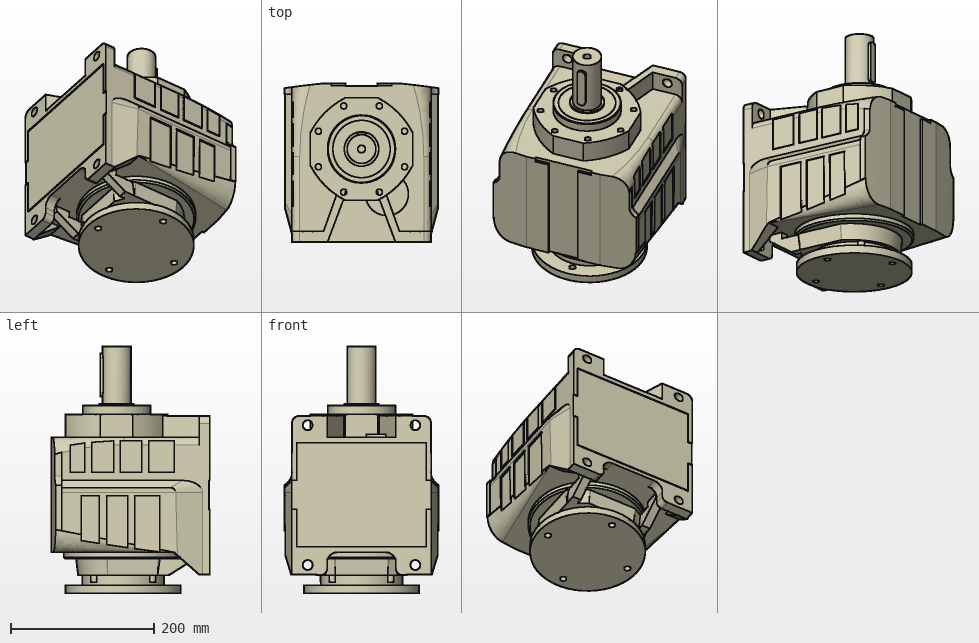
import cadquery as cq
import math


total_height = 344.5
shaft_d = 40.0
shaft_length = 80.0
shaft_base_z = total_height - shaft_length
centre_hole_d = 10.5
centre_hole_depth = 30.0
collar_d = 48.0
collar_height = 2.0
key_width = 12.0
key_length = 60.0
key_projection = 3.0

boss_d = 95.0
boss_top_z = shaft_base_z - collar_height
boss_chamfer = 1.0
seal_d = 80.0
seal_recess = 0.3
face_across_flats = 143.0
face_flat_half_length = 22.6
face_diagonal_radius = 72.0
face_top_z = 249.5
face_bolt_circle_d = 130.0
face_bolt_d = 8.5
face_bolt_depth = 20.0
face_bolt_count = 8

housing_top_z = 218.0
housing_bottom_z = 57.0
housing_half_width = 97.0
back_y = 91.5
front_y = -130.0
foot_thickness = 15.0
foot_back_y = front_y + foot_thickness

bulge_half_width = 107.0
parting_z = 141.0
draft_at_bottom = 0.8
bulge_inner_top_z = 157.5
bulge_outer_top_z = 147.5
bulge_inner_front_y = -119.5
bulge_outer_front_y = -82.0
bulge_inner_corner_length = 28.5
bulge_outer_corner_length = 7.5

rim_front_y = 76.5
rim_proud = 0.5
rim_ledge_top_z = 164.0
rim_ledge_mid = (100.5, 157.5)
rim_ledge_bottom_z = 151.0
rim_side_y = 85.0
rim_flat_half_width = 55.0
rim_arc_mid = (80.0, 88.7)
rear_recess_depth = 3.5
rear_recess_half_width = 22.0
rear_tab_half_width = 42.0
rear_tab_drop = 5.0

top_edge_radius = 10.5
top_edge_growth = 15.0
top_growth_start_y = -10.0
bottom_edge_end_y = -80.0
bottom_edge_start_height = 0.3
bottom_edge_height = 33.5
bottom_edge_aspect = 0.8
cut_margin = 2.0

foot_top_z = 247.5
foot_bottom_z = 26.0
foot_corner_radius = 10.0
foot_hole_d = 13.5
foot_hole_x = 75.0
foot_hole_zs = (39.5, 234.5)
pad_depth = 1.0
pad_half_width = 90.5
pad_z = (65.0, 210.0)
pad_band_z = (117.0, 157.5)
arch_half_width = 48.0
arch_radius = 14.0
arch_flare_radius = 8.0
gusset_inner_x = 84.0

rib_inner_start = (25.0, -70.0)
rib_inner_end = (47.5, front_y)
rib_outer_start = (35.0, -64.5)
rib_outer_end = (53.0, foot_back_y)
rib_root = (20.0, -50.0)

cover_centre = (35.4, -62.8)
cover_d = 60.0
cover_height = 4.0

upper_pocket_depth = 1.5
lower_pocket_depth = 2.0
upper_pockets = ((44.5, 65.0), (4.0, 35.0), (-35.0, -5.0), (-80.0, -45.0))
upper_pocket_bottom_z = 168.7
lower_pockets = ((24.0, 49.5), (-15.5, 14.0), (-60.0, -25.0))
lower_pocket_top_z = 136.0

input_y = -9.0
input_flange_d = 161.0
input_flange_height = 11.5
input_hole_circle_d = 130.0
input_hole_d = 9.0
input_hole_count = 4
neck_d = 114.5
input_block_z = 25.0
screw_d = 10.0
screw_offset = 40.3
screw_bottom_z = 15.5
disc_d = 166.0
disc_bottom_z = 48.0
disc_chamfer = 2.5
block_half_width = 63.0
block_flat_y = (13.0, -57.0)
block_back_y = 54.0
block_front_y = -72.5
block_front_half_width = 36.5
block_taper = 7.0
web_inner_x = 50.0
web_front_y = -109.0
web_step_y = -88.0


def box(x0, x1, y0, y1, z0, z1):
    return cq.Workplane("XY").box(x1 - x0, y1 - y0, z1 - z0, centered=False).translate((x0, y0, z0))


def cylinder(diameter, z0, z1, x=0.0, y=0.0):
    return cq.Workplane("XY", origin=(x, y, z0)).circle(diameter / 2).extrude(z1 - z0)


def mirrored(body):
    """The body together with its mirror image across the YZ plane."""
    return body.union(body.mirror("YZ"))


def yz_prism(points, x0, x1):
    return cq.Workplane("YZ", origin=(x0, 0, 0)).polyline(points).close().extrude(x1 - x0)


def edge_waste(x, z, stations):
    """Waste outside rounded upper edges along Y at (+-x, z); stations are (y, width, height)."""
    waste = cq.Workplane("XZ")
    last_y = 0.0
    for y, width, height in stations:
        waste = (
            waste.workplane(offset=last_y - y)
            .moveTo(x, z - height)
            .ellipseArc(width, height, 0, 90, sense=1)
            .lineTo(x - width, z + cut_margin)
            .lineTo(x + cut_margin, z + cut_margin)
            .lineTo(x + cut_margin, z - height)
            .close()
        )
        last_y = y
    return mirrored(waste.loft(combine=True))


def top_radius(y):
    grown = (y - top_growth_start_y) / (back_y - top_growth_start_y)
    return top_edge_radius + top_edge_growth * grown**2


def side_bulges():
    """Both side bulges, each lofted from its wide base on the housing side to its smaller outer face."""

    def outline(plane, front, top, corner_length):
        return (
            plane.moveTo(rim_front_y, foot_bottom_z)
            .lineTo(rim_front_y, top)
            .lineTo(front + corner_length, top)
            .ellipseArc(corner_length, top - parting_z, 90, 180, sense=1)
            .lineTo(front, foot_bottom_z)
            .close()
        )

    base = cq.Workplane("YZ", origin=(housing_half_width, 0, 0))
    base = outline(base, bulge_inner_front_y, bulge_inner_top_z, bulge_inner_corner_length)
    tip = base.workplane(offset=bulge_half_width - housing_half_width)
    tip = outline(tip, bulge_outer_front_y, bulge_outer_top_z, bulge_outer_corner_length)
    body = tip.loft(ruled=True, combine=True)
    draft_waste = (
        cq.Workplane("XZ", origin=(0, back_y, 0))
        .moveTo(bulge_half_width, parting_z)
        .lineTo(bulge_half_width + cut_margin, foot_bottom_z)
        .lineTo(bulge_half_width - draft_at_bottom, foot_bottom_z)
        .close()
        .extrude(back_y - front_y)
    )
    wall = box(
        gusset_inner_x,
        housing_half_width,
        foot_back_y,
        bottom_edge_end_y,
        foot_bottom_z,
        housing_bottom_z,
    )
    underside = [
        (back_y, housing_bottom_z),
        (bottom_edge_end_y, housing_bottom_z),
        (foot_back_y, foot_bottom_z),
        (back_y, foot_bottom_z),
    ]
    underside_waste = yz_prism(underside, 0, bulge_half_width + cut_margin)
    return mirrored(body.cut(draft_waste).union(wall).cut(underside_waste))


def rear_rim():
    """Rim at the back: the housing silhouette, bowed in plan."""
    upper_x = housing_half_width + rim_proud
    lower_x = bulge_half_width + rim_proud
    silhouette = (
        cq.Workplane("XZ", origin=(0, back_y, 0))
        .moveTo(0, housing_bottom_z)
        .lineTo(lower_x, housing_bottom_z)
        .lineTo(lower_x, rim_ledge_bottom_z)
        .threePointArc(rim_ledge_mid, (upper_x, rim_ledge_top_z))
        .lineTo(upper_x, housing_top_z)
        .lineTo(0, housing_top_z)
        .close()
        .extrude(back_y - rim_front_y)
    )
    plan = (
        cq.Workplane("XY", origin=(0, 0, housing_bottom_z))
        .moveTo(0, rim_front_y)
        .lineTo(lower_x, rim_front_y)
        .lineTo(lower_x, rim_side_y)
        .threePointArc(rim_arc_mid, (rim_flat_half_width, back_y))
        .lineTo(0, back_y)
        .close()
        .extrude(housing_top_z - housing_bottom_z)
    )
    return mirrored(silhouette.intersect(plan))


def side_pockets():
    pockets = cq.Workplane("XY")
    inner_x = housing_half_width - upper_pocket_depth
    for y0, y1 in upper_pockets:
        pockets = pockets.union(
            box(inner_x, housing_half_width + cut_margin, y0, y1, upper_pocket_bottom_z, housing_top_z)
        )
    inner_x = bulge_half_width - lower_pocket_depth
    for y0, y1 in lower_pockets:
        pockets = pockets.union(
            box(inner_x, bulge_half_width + cut_margin, y0, y1, housing_bottom_z, lower_pocket_top_z)
        )
    return mirrored(pockets)


def rear_recess():
    floor_y = back_y - rear_recess_depth
    slot = box(
        -rear_recess_half_width, rear_recess_half_width, floor_y, back_y, housing_bottom_z, housing_top_z
    )
    tab_top_z = housing_top_z - rear_tab_drop
    step = box(-rear_tab_half_width, rear_tab_half_width, floor_y, back_y, tab_top_z, housing_top_z)
    return slot.union(step)


def housing():
    core = box(
        -housing_half_width, housing_half_width, foot_back_y, rim_front_y, housing_bottom_z, housing_top_z
    )
    body = core.union(side_bulges()).union(rear_rim())
    end_y = back_y + cut_margin
    growth_span = end_y - top_growth_start_y
    steps = 4
    growth = [top_growth_start_y + growth_span * i / steps for i in range(steps + 1)]
    straight = [(y, top_edge_radius, top_edge_radius) for y in (foot_back_y, top_growth_start_y)]
    growing = [(y, top_radius(y), top_radius(y)) for y in growth]
    body = body.cut(edge_waste(housing_half_width, housing_top_z, straight))
    body = body.cut(edge_waste(housing_half_width, housing_top_z, growing))
    tapering = [
        (y, height * bottom_edge_aspect, height)
        for y, height in ((bottom_edge_end_y, bottom_edge_start_height), (end_y, bottom_edge_height))
    ]
    lower_waste = edge_waste(bulge_half_width - draft_at_bottom, -housing_bottom_z, tapering).mirror("XY")
    body = body.cut(lower_waste)
    return body.cut(side_pockets()).cut(rear_recess())


def foot_plate():
    plate = box(
        -housing_half_width, housing_half_width, front_y, foot_back_y, foot_bottom_z, foot_top_z
    )
    plate = plate.edges("|Y and >Z").fillet(foot_corner_radius)
    arch = box(-arch_half_width, arch_half_width, front_y, foot_back_y, foot_bottom_z, housing_bottom_z)
    arch = arch.edges("|Y and >Z").fillet(arch_radius)
    plate = plate.cut(arch)
    flare_edges = cq.selectors.BoxSelector(
        (-arch_half_width - cut_margin, front_y - cut_margin, foot_bottom_z - cut_margin),
        (arch_half_width + cut_margin, foot_back_y + cut_margin, foot_bottom_z + cut_margin),
    )
    plate = plate.edges("|Y").edges(flare_edges).fillet(arch_flare_radius)
    pad = box(-pad_half_width, pad_half_width, front_y, front_y + pad_depth, *pad_z)
    band = box(-housing_half_width, housing_half_width, front_y, front_y + pad_depth, *pad_band_z)
    return plate.cut(pad).cut(band)


def rib_window():
    """Open space above the housing between the two ribs."""
    (x0, y0), (x1, y1) = rib_inner_start, rib_inner_end
    return (
        cq.Workplane("XY", origin=(0, 0, housing_top_z))
        .polyline([(-x0, y0), (x0, y0), (x1, y1), (-x1, y1)])
        .close()
        .extrude(foot_top_z - housing_top_z)
    )


def ribs():
    rib = (
        cq.Workplane("XY", origin=(0, 0, housing_top_z))
        .polyline([rib_root, rib_inner_start, rib_inner_end, rib_outer_end, rib_outer_start])
        .close()
        .extrude(foot_top_z - housing_top_z)
    )
    return mirrored(rib)


def foot_holes():
    points = [(x, z) for x in (-foot_hole_x, foot_hole_x) for z in foot_hole_zs]
    return (
        cq.Workplane("XZ", origin=(0, foot_back_y, 0))
        .pushPoints(points)
        .circle(foot_hole_d / 2)
        .extrude(foot_thickness)
    )


def output_face():
    half = face_across_flats / 2
    flat = face_flat_half_length
    mid = face_diagonal_radius * math.sqrt(0.5)
    face = (
        cq.Workplane("XY", origin=(0, 0, housing_top_z))
        .moveTo(half, -flat)
        .lineTo(half, flat)
        .threePointArc((mid, mid), (flat, half))
        .lineTo(-flat, half)
        .threePointArc((-mid, mid), (-half, flat))
        .lineTo(-half, -flat)
        .threePointArc((-mid, -mid), (-flat, -half))
        .lineTo(flat, -half)
        .threePointArc((mid, -mid), (half, -flat))
        .close()
        .extrude(face_top_z - housing_top_z)
    )
    holes = (
        cq.Workplane("XY", origin=(0, 0, face_top_z - face_bolt_depth))
        .polarArray(face_bolt_circle_d / 2, 180 / face_bolt_count, 360, face_bolt_count)
        .circle(face_bolt_d / 2)
        .extrude(face_bolt_depth)
    )
    boss = cylinder(boss_d, face_top_z, boss_top_z).faces(">Z").edges().chamfer(boss_chamfer)
    seal = cylinder(seal_d, boss_top_z - seal_recess, boss_top_z)
    return face.cut(holes).union(boss.cut(seal))


def output_shaft():
    shaft = cylinder(collar_d, boss_top_z - seal_recess, shaft_base_z)
    shaft = shaft.union(cylinder(shaft_d, shaft_base_z, total_height))
    key = (
        cq.Workplane("XZ", origin=(0, shaft_d / 2 + key_projection, shaft_base_z + shaft_length / 2))
        .slot2D(key_length, key_width, 90)
        .extrude(shaft_d / 2)
    )
    centre_hole = cylinder(centre_hole_d, total_height - centre_hole_depth, total_height)
    return shaft.union(key).cut(centre_hole)


def input_block():
    """Drafted block under the housing, with two webs sloping up towards the foot plate."""
    flat_back, flat_front = block_flat_y
    block = (
        cq.Workplane("XY", origin=(0, 0, input_block_z))
        .moveTo(-block_half_width, flat_back)
        .threePointArc((0, block_back_y), (block_half_width, flat_back))
        .lineTo(block_half_width, flat_front)
        .lineTo(block_front_half_width, block_front_y)
        .lineTo(-block_front_half_width, block_front_y)
        .lineTo(-block_half_width, flat_front)
        .close()
        .extrude(disc_bottom_z - input_block_z, taper=-block_taper)
    )
    web_outline = [
        (flat_front, input_block_z),
        (block_front_y, input_block_z),
        (web_front_y, disc_bottom_z),
        (web_front_y, housing_bottom_z),
        (web_step_y, housing_bottom_z),
        (web_step_y, disc_bottom_z),
        (flat_front, disc_bottom_z),
    ]
    return block.union(mirrored(yz_prism(web_outline, web_inner_x, block_half_width)))


def input_side():
    disc = cylinder(disc_d, disc_bottom_z, housing_bottom_z, y=input_y)
    disc = disc.faces("<Z").edges().chamfer(disc_chamfer)
    flange = cylinder(input_flange_d, 0, input_flange_height, y=input_y)
    flange_holes = (
        cq.Workplane("XY", origin=(0, input_y, 0))
        .polarArray(input_hole_circle_d / 2, 0, 360, input_hole_count)
        .circle(input_hole_d / 2)
        .extrude(input_flange_height)
    )
    neck = cylinder(neck_d, input_flange_height, input_block_z, y=input_y)
    screws = (
        cq.Workplane("XY", origin=(0, input_y, screw_bottom_z))
        .rect(2 * screw_offset, 2 * screw_offset, forConstruction=True)
        .vertices()
        .circle(screw_d / 2)
        .extrude(input_block_z - screw_bottom_z)
    )
    return disc.union(input_block()).union(neck).union(screws).union(flange.cut(flange_holes))


cover = cylinder(cover_d, housing_top_z, housing_top_z + cover_height, *cover_centre)
gearbox = housing().union(foot_plate()).cut(rib_window()).union(ribs())
gearbox = gearbox.union(cover).union(output_face()).union(output_shaft()).union(input_side())
result = gearbox.cut(foot_holes())